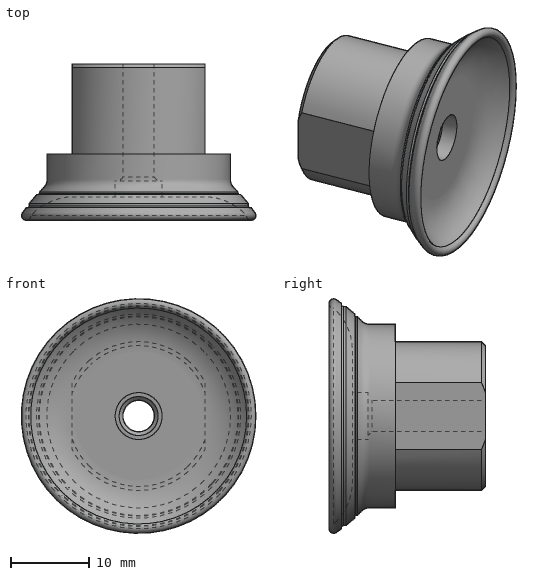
import cadquery as cq
import math

total_length = 20.0
rim_radius = 15.0
lip_radius = 0.6
lip_centre_radius = rim_radius - lip_radius

stem_radius = 9.5
stem_chamfer = 0.5
across_flats = 17.0

collar_radius = 23.5 / 2
collar_back = 8.5
flare_fillet = 1.45
flare_start = 5.2

rear_groove_radius = 25.4 / 2
rear_groove_back = 3.63
rear_groove_bevel = 3.45
rear_groove_front = 3.3
front_groove_radius = 28.05 / 2
front_groove_back = 2.15
front_groove_bevel = 1.85
front_groove_front = 1.62
groove_bevel_rise = 0.1
rear_step_radius = 13.05
front_step_radius = 14.4

floor_radius = 8.22
floor_depth = 3.0
dish_sagitta = 0.65

bore_radius = 4.0 / 2
countersink_radius = 2.5
counterbore_radius = 3.0
counterbore_depth = 2.0


def fillet_point(angle):
    """Point on the concave fillet, turned by angle from the collar wall."""
    return (
        collar_radius + flare_fillet * (1 - math.cos(angle)),
        flare_start - flare_fillet * math.sin(angle),
    )


def lip_point(angle):
    """Point on the round lip; angle zero faces outward."""
    return (
        lip_centre_radius + lip_radius * math.cos(angle),
        lip_radius + lip_radius * math.sin(angle),
    )


def dish_middle():
    """Middle of the concave dish arc, bulged behind its chord."""
    rim = lip_point(math.pi)
    run = rim[0] - floor_radius
    rise = floor_depth - rim[1]
    chord = math.hypot(run, rise)
    return (
        (rim[0] + floor_radius) / 2 + dish_sagitta * rise / chord,
        (rim[1] + floor_depth) / 2 + dish_sagitta * run / chord,
    )


def make_cup():
    """Collar, grooved skirt, round lip and dish, as one revolved profile."""
    profile = (
        cq.Workplane("XY")
        .moveTo(0, floor_depth)
        .lineTo(0, collar_back)
        .lineTo(collar_radius, collar_back)
        .lineTo(collar_radius, flare_start)
        .threePointArc(fillet_point(math.pi / 8), fillet_point(math.pi / 4))
        .lineTo(rear_groove_radius, rear_groove_back)
        .lineTo(rear_groove_radius, rear_groove_bevel)
        .lineTo(rear_groove_radius + groove_bevel_rise, rear_groove_front)
        .lineTo(rear_step_radius, rear_groove_front)
        .lineTo(front_groove_radius, front_groove_back)
        .lineTo(front_groove_radius, front_groove_bevel)
        .lineTo(front_groove_radius + groove_bevel_rise, front_groove_front)
        .lineTo(front_step_radius, front_groove_front)
        .lineTo(*lip_point(math.pi / 4))
        .threePointArc(lip_point(-math.pi / 2), lip_point(math.pi))
        .threePointArc(dish_middle(), (floor_radius, floor_depth))
        .close()
    )
    return profile.revolve(360, (0, 0, 0), (0, 1, 0))


def make_stem():
    """Chamfered round stem cut by a flat on each X side."""
    back = cq.Workplane("XZ", origin=(0, total_length, 0))
    length = total_length - collar_back
    stem = back.circle(stem_radius).extrude(length).faces(">Y").chamfer(stem_chamfer)
    return stem.intersect(back.rect(across_flats, 2 * stem_radius).extrude(length))


def make_hole():
    """Through bore with a 45 degree countersink and a counterbore from the dish."""
    ledge = floor_depth + counterbore_depth
    countersink_end = ledge + countersink_radius - bore_radius
    return (
        cq.Workplane("XY")
        .moveTo(0, 0)
        .lineTo(counterbore_radius, 0)
        .lineTo(counterbore_radius, ledge)
        .lineTo(countersink_radius, ledge)
        .lineTo(bore_radius, countersink_end)
        .lineTo(bore_radius, total_length)
        .lineTo(0, total_length)
        .close()
        .revolve(360, (0, 0, 0), (0, 1, 0))
    )


result = make_cup().union(make_stem()).cut(make_hole())